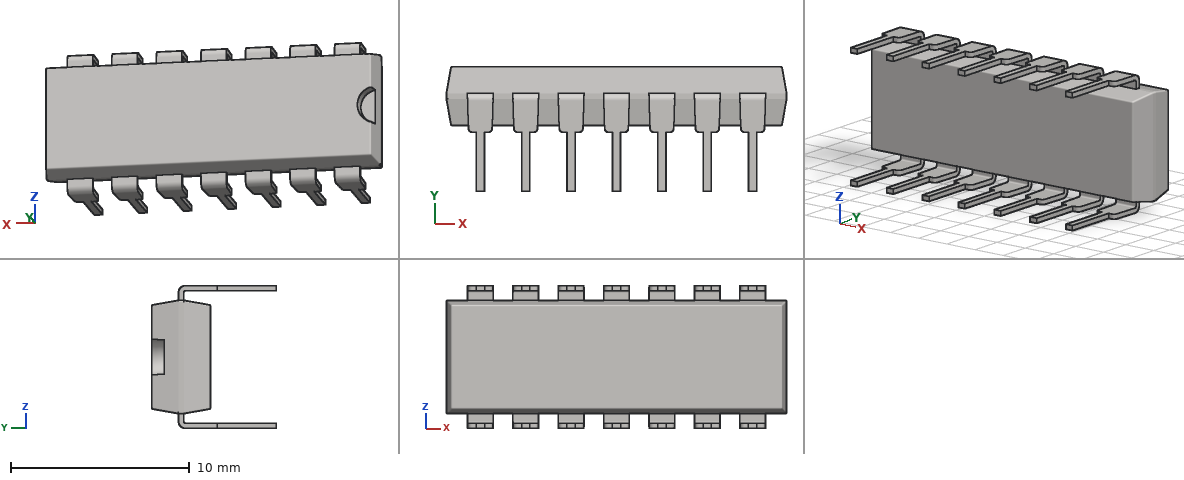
import cadquery as cq
import math

BODY_LENGTH = 19.05
BODY_HEIGHT = 6.35
BODY_DEPTH = 3.3
DRAFT_ANGLE = 10.0
BODY_FILLET = 0.1

NOTCH_RADIUS = 1.03
NOTCH_DEPTH = 0.7
NOTCH_TAPER = 5.0

LEAD_COUNT = 7
LEAD_PITCH = 2.54
LEAD_THICKNESS = 0.3
LEAD_SPAN = 8.0
LEAD_EMBED = 0.5
BEND_INNER_RADIUS = 0.1
SHOULDER_ROOT_WIDTH = 1.45
SHOULDER_TIP_WIDTH = 1.32
SHOULDER_CORNER_RADIUS = 0.22
PIN_WIDTH = 0.47
PIN_LENGTH = 3.3
OVERALL_DEPTH = 6.98

BAND_DEPTH = LEAD_THICKNESS
DRAFT_DEPTH = (BODY_DEPTH - BAND_DEPTH) / 2
BODY_BACK = BODY_DEPTH / 2
TIP_Y = BODY_BACK - OVERALL_DEPTH
SHOULDER_END_Y = TIP_Y + PIN_LENGTH
BEND_OUTER_RADIUS = BEND_INNER_RADIUS + LEAD_THICKNESS
LEAD_TOP = LEAD_SPAN / 2
LEAD_BACK = BAND_DEPTH / 2
BEND_END_Y = LEAD_BACK - BEND_OUTER_RADIUS


def drafted_half(side):
    """Half of the body from the band to the +Y (side=1) or -Y (side=-1) face."""
    plane = cq.Plane(
        origin=(0, side * BAND_DEPTH / 2, 0), xDir=(1, 0, 0), normal=(0, side, 0)
    )
    return cq.Workplane(plane).rect(BODY_LENGTH, BODY_HEIGHT).extrude(DRAFT_DEPTH, taper=DRAFT_ANGLE)


def make_body():
    """Both drafted halves joined at the band, rounded at the Y faces and the corners."""
    body = cq.Workplane("XY").box(BODY_LENGTH, BAND_DEPTH, BODY_HEIGHT)
    body = body.union(drafted_half(1)).union(drafted_half(-1))
    end_faces_and_corners = "(<Y or >Y) or (not (|X or |Z))"
    return body.edges(end_faces_and_corners).fillet(BODY_FILLET)


def make_notch():
    """Tapered round cut, its axis in the plane of the -X end of the band."""
    axis_x = -BODY_LENGTH / 2
    plane = cq.Plane(origin=(axis_x, BODY_BACK, 0), xDir=(1, 0, 0), normal=(0, -1, 0))
    return cq.Workplane(plane).circle(NOTCH_RADIUS).extrude(NOTCH_DEPTH, taper=NOTCH_TAPER)


def lead_side_profile():
    """Bent strip in the YZ plane, extruded wide enough to be cut to outline."""
    root_z = BODY_HEIGHT / 2 - LEAD_EMBED
    lead_front = LEAD_BACK - LEAD_THICKNESS
    lead_underside = LEAD_TOP - LEAD_THICKNESS
    bend_centre_z = LEAD_TOP - BEND_OUTER_RADIUS
    diagonal = math.sqrt(0.5)
    outer_mid = BEND_OUTER_RADIUS * diagonal
    inner_mid = BEND_INNER_RADIUS * diagonal
    return (
        cq.Workplane("YZ")
        .moveTo(LEAD_BACK, root_z)
        .lineTo(LEAD_BACK, bend_centre_z)
        .threePointArc((BEND_END_Y + outer_mid, bend_centre_z + outer_mid), (BEND_END_Y, LEAD_TOP))
        .lineTo(TIP_Y, LEAD_TOP)
        .lineTo(TIP_Y, lead_underside)
        .lineTo(BEND_END_Y, lead_underside)
        .threePointArc((BEND_END_Y + inner_mid, bend_centre_z + inner_mid), (lead_front, bend_centre_z))
        .lineTo(lead_front, root_z)
        .close()
        .extrude(SHOULDER_ROOT_WIDTH / 2, both=True)
    )


def lead_outline():
    """Flat lead shape in the XY plane: tapered shoulder with rounded corners, then the pin."""
    half_root = SHOULDER_ROOT_WIDTH / 2
    half_tip = SHOULDER_TIP_WIDTH / 2
    shoulder = (
        cq.Workplane("XY")
        .polyline([
            (-half_root, LEAD_BACK),
            (-half_tip, SHOULDER_END_Y),
            (half_tip, SHOULDER_END_Y),
            (half_root, LEAD_BACK),
        ])
        .close()
        .extrude(LEAD_SPAN)
        .edges("|Z and <Y")
        .fillet(SHOULDER_CORNER_RADIUS)
    )
    pin_middle_y = (BEND_END_Y + TIP_Y) / 2
    pin = (
        cq.Workplane("XY")
        .center(0, pin_middle_y)
        .rect(PIN_WIDTH, BEND_END_Y - TIP_Y)
        .extrude(LEAD_SPAN)
    )
    return shoulder.union(pin)


def make_lead():
    """One upper lead centred on X = 0."""
    return lead_side_profile().intersect(lead_outline())


result = make_body().cut(make_notch())

upper_lead = make_lead()
lower_lead = upper_lead.mirror("XY")
for index in range(LEAD_COUNT):
    lead_x = (index - (LEAD_COUNT - 1) / 2) * LEAD_PITCH
    for lead in (upper_lead, lower_lead):
        result = result.union(lead.translate((lead_x, 0, 0)))